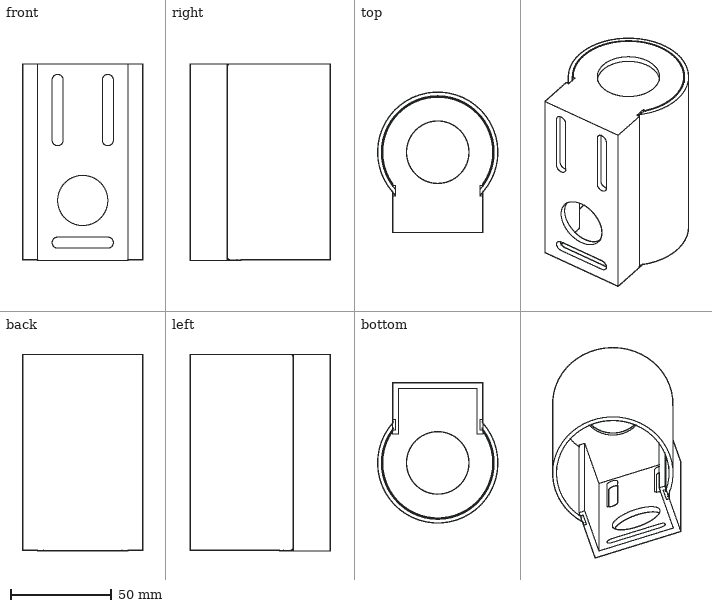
import cadquery as cq
import math

height = 98.0
wall = 3.0

cover_outer_radius = 30.0
cover_inner_radius = 28.0
cover_corner_radius = 1.5

block_width = 45.0
block_front = -40.0
block_back = -14.5
cap_radius = 27.5
bore_diameter = 31.0

groove_depth = 1.5
groove_back = -16.5
groove_front = -21.7
groove_floor = 0.4

slot_width = 5.5
upright_slot_spacing = 25.0
upright_slot_centers = 30.0
upright_slot_height = 75.0
cross_slot_centers = 25.0
cross_slot_height = 9.0
window_diameter = 25.0
window_height = 30.0

half_width = block_width / 2
groove_bottom = half_width - groove_depth
cover_end = groove_bottom


def box(x_range, y_range, z_range):
    """Box between the given limits along each axis."""
    sizes = [high - low for low, high in (x_range, y_range, z_range)]
    corner = (x_range[0], y_range[0], z_range[0])
    return cq.Workplane("XY").box(*sizes, centered=False).translate(corner)


def front_opening(outline):
    """Cutter through the front wall; outline is drawn on XZ and extruded toward +Y."""
    return outline.extrude(-wall).translate((0, block_front, 0))


def slot(x, z, center_distance, angle):
    """Cutter for one round-ended slot; the angle turns it from level."""
    outline = cq.Workplane("XZ").center(x, z).slot2D(center_distance + slot_width, slot_width, angle)
    return front_opening(outline)


def make_housing():
    block = box((-half_width, half_width), (block_front, block_back), (0, height))
    cap = cq.Workplane("XY").workplane(offset=height - wall).circle(cap_radius).extrude(wall)

    inner_half_width = half_width - wall
    channel = box(
        (-inner_half_width, inner_half_width),
        (block_front + wall, block_back),
        (0, height - wall),
    )
    body = block.cut(channel).union(cap)

    bore = cq.Workplane("XY").workplane(offset=height - wall).circle(bore_diameter / 2).extrude(wall)
    body = body.cut(bore)

    for x_range in ((-half_width, -groove_bottom), (groove_bottom, half_width)):
        body = body.cut(box(x_range, (groove_front, groove_back), (groove_floor, height)))

    for side in (-1, 1):
        x = side * upright_slot_spacing / 2
        body = body.cut(slot(x, upright_slot_height, upright_slot_centers, 90))
    body = body.cut(slot(0, cross_slot_height, cross_slot_centers, 0))

    window = cq.Workplane("XZ").center(0, window_height).circle(window_diameter / 2)
    return body.cut(front_opening(window))


def make_cover():
    """Round shell whose two flat ends sit in the housing grooves."""
    outer_y = -math.sqrt(cover_outer_radius**2 - cover_end**2)
    inner_y = -math.sqrt(cover_inner_radius**2 - cover_end**2)
    shell = (
        cq.Workplane("XY")
        .workplane(offset=groove_floor)
        .moveTo(-cover_end, outer_y)
        .threePointArc((0, cover_outer_radius), (cover_end, outer_y))
        .lineTo(cover_end, inner_y)
        .threePointArc((0, cover_inner_radius), (-cover_end, inner_y))
        .close()
        .extrude(height - groove_floor)
    )
    return shell.edges("|Y").fillet(cover_corner_radius)


housing = make_housing()
cover = make_cover()

result = cq.Compound.makeCompound([housing.val(), cover.val()])